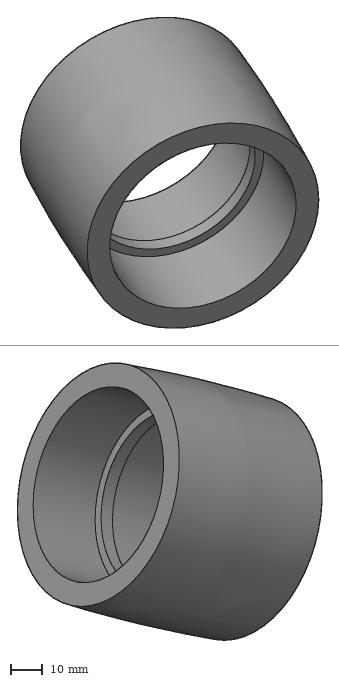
import cadquery as cq

length = 60.0
crown_radius = 40.0
end_radius = 39.3
crown_position = 28.4
bore_radius = 28.7
socket_radius = 31.6
stop_width = 4.8

left = -length / 2
right = length / 2
crown = left + crown_position


def barrel_radius(distance, span):
    """Radius at a distance from the crown, falling parabolically to the end."""
    return crown_radius - (crown_radius - end_radius) * (distance / span) ** 2


left_span = crown - left
right_span = right - crown
left_middle = (crown - left_span / 2, barrel_radius(left_span / 2, left_span))
right_middle = (crown + right_span / 2, barrel_radius(right_span / 2, right_span))

body = (
    cq.Workplane("XY")
    .moveTo(left, 0)
    .lineTo(left, end_radius)
    .threePointArc(left_middle, (crown, crown_radius))
    .threePointArc(right_middle, (right, end_radius))
    .lineTo(right, 0)
    .close()
    .revolve(360, (0, 0, 0), (1, 0, 0))
)


def axial_hole(start, radius, depth):
    """Cylinder along +X, used to cut a round hole."""
    return cq.Workplane("YZ", origin=(start, 0, 0)).circle(radius).extrude(depth)


bore = axial_hole(left, bore_radius, length)
left_socket = axial_hole(left, socket_radius, left_span - stop_width / 2)
right_socket = axial_hole(crown + stop_width / 2, socket_radius, right_span - stop_width / 2)

result = body.cut(bore).cut(left_socket).cut(right_socket)